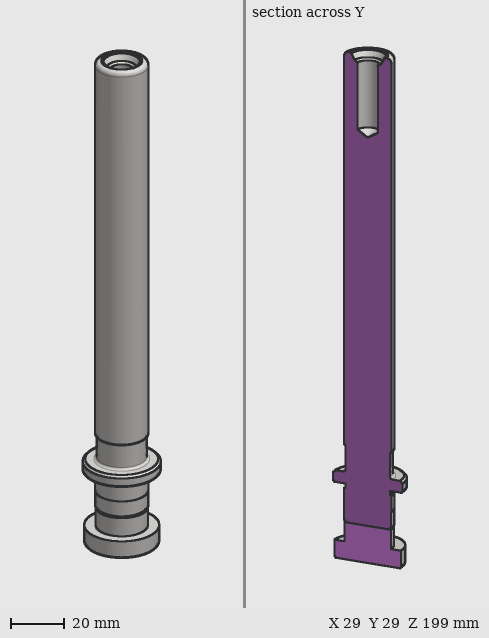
import cadquery as cq
import math

total_height = 199.0
rod_radius = 10.0
neck_radius = 9.4

foot_radius = 14.0
foot_height = 7.2
foot_chamfer = 0.5
shank_radius = 9.8
plug_height = 14.7

collar_chamfer = 0.5
lower_end_chamfer = 0.8
lead_in_relief = 0.04
lead_in_radius = rod_radius - lead_in_relief
lead_in_top = 21.7
collar_top = 28.5
flange_radius = 14.5
flange_bottom = 29.7
flange_top = 34.5
flange_lower_chamfer = 0.5
flange_upper_chamfer = 1.0
flange_fillet = 1.0
barrel_bottom = 44.5
top_fillet = 2.0

mouth_radius = 7.5
cone_radius = 6.8
mouth_depth = 0.4
cone_angle = 60.0
seat_radius = 5.4
seat_depth = 0.8
bore_radius = 4.2
bore_depth = 29.8
drill_point_angle = 118.0


def make_plug():
    """Foot and shank, with the lower rim of the foot chamfered."""
    foot = cq.Workplane("XY").circle(foot_radius).extrude(foot_height)
    foot = foot.faces("<Z").chamfer(foot_chamfer)
    shank = cq.Workplane("XY").circle(shank_radius).extrude(plug_height)
    return foot.union(shank)


def make_rod_blank():
    """Revolve the outside of the rod about Z."""
    diagonal = math.sqrt(0.5)
    fillet_outer = neck_radius + flange_fillet
    flange_mid = (
        fillet_outer - flange_fillet * diagonal,
        flange_top + flange_fillet * (1 - diagonal),
    )
    top_mid = (
        rod_radius - top_fillet * (1 - diagonal),
        total_height - top_fillet * (1 - diagonal),
    )
    return (
        cq.Workplane("XZ")
        .moveTo(0, plug_height)
        .lineTo(lead_in_radius - lower_end_chamfer, plug_height)
        .lineTo(lead_in_radius, plug_height + lower_end_chamfer)
        .lineTo(lead_in_radius, lead_in_top)
        .lineTo(rod_radius, lead_in_top)
        .lineTo(rod_radius, collar_top - collar_chamfer)
        .lineTo(neck_radius, collar_top)
        .lineTo(neck_radius, flange_bottom)
        .lineTo(flange_radius - flange_lower_chamfer, flange_bottom)
        .lineTo(flange_radius, flange_bottom + flange_lower_chamfer)
        .lineTo(flange_radius, flange_top - flange_upper_chamfer)
        .lineTo(flange_radius - flange_upper_chamfer, flange_top)
        .lineTo(fillet_outer, flange_top)
        .threePointArc(flange_mid, (neck_radius, flange_top + flange_fillet))
        .lineTo(neck_radius, barrel_bottom)
        .lineTo(rod_radius, barrel_bottom + rod_radius - neck_radius)
        .lineTo(rod_radius, total_height - top_fillet)
        .threePointArc(top_mid, (rod_radius - top_fillet, total_height))
        .lineTo(0, total_height)
        .close()
        .revolve(360, (0, 0), (0, 1))
    )


def make_top_hole():
    """Protective chamfer, centring cone, bore chamfer and drilled blind bore."""
    cone_top = total_height - mouth_depth
    cone_bottom = cone_top - (cone_radius - seat_radius) / math.tan(math.radians(cone_angle / 2))
    bore_bottom = total_height - bore_depth
    point_height = bore_radius / math.tan(math.radians(drill_point_angle / 2))
    return (
        cq.Workplane("XZ")
        .moveTo(0, total_height)
        .lineTo(mouth_radius, total_height)
        .lineTo(cone_radius, cone_top)
        .lineTo(seat_radius, cone_bottom)
        .lineTo(bore_radius, cone_bottom - seat_depth)
        .lineTo(bore_radius, bore_bottom)
        .lineTo(0, bore_bottom - point_height)
        .close()
        .revolve(360, (0, 0), (0, 1))
    )


plug = make_plug()
rod = make_rod_blank().cut(make_top_hole())

result = cq.Compound.makeCompound([plug.val(), rod.val()])